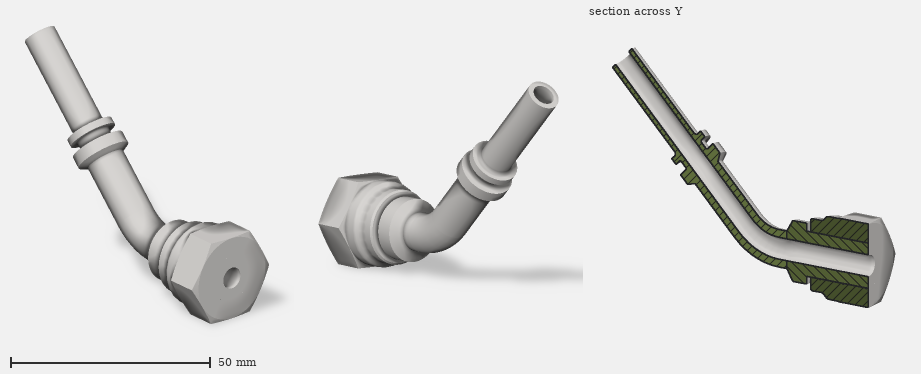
import cadquery as cq
import math


TUBE_RADIUS = 5.0
BORE_RADIUS = 2.8
CONE_ANGLE = 60.0
HEAD_START = -24.8

BEND_START = -27.25
BEND_RADIUS = 14.25
BEND_ANGLE = 45.0
CORNER_TO_TIP = 59.0
TAIL_RADIUS = 4.2
RING_RADIUS = 6.2
RING_START = 27.5
RING_END = 29.35
RING_FILLET = 0.85
GROOVE_RADIUS = 4.35
GROOVE_FILLET = 0.5
FLANGE_RADIUS = 7.0
FLANGE_START = 32.0
FLANGE_END = 35.1

COLLAR_RADIUS = 8.0
COLLAR_END = -18.7
NECK_RADIUS = 6.0

NUT_START = -17.7
SLEEVE_RADIUS = 9.5
SLEEVE_CHAMFER = 0.5
SHOULDER_START = -14.5
SHOULDER_END = -12.1
SHOULDER_RADIUS = 10.9
HEX_START = -9.2
HEX_WIDTH = 21.95
HEX_CHAMFER = 0.55


def cone_length(outer_radius, inner_radius):
    """Axial length of a conical shoulder between two radii."""
    return (outer_radius - inner_radius) / math.tan(math.radians(CONE_ANGLE))


def revolve_about_x(profile):
    """Turn a closed XZ profile, with radius along Z, around the X axis."""
    return profile.close().revolve(360, (0, 0, 0), (1, 0, 0))


def make_stem():
    angle = math.radians(BEND_ANGLE)
    corner_x = BEND_START - BEND_RADIUS * math.tan(angle / 2)
    tip_x = corner_x - CORNER_TO_TIP * math.cos(angle)
    tip_z = CORNER_TO_TIP * math.sin(angle)
    bend_end_x = BEND_START - BEND_RADIUS * math.sin(angle)
    bend_end_z = BEND_RADIUS * (1 - math.cos(angle))
    bend_middle_x = BEND_START - BEND_RADIUS * math.sin(angle / 2)
    bend_middle_z = BEND_RADIUS * (1 - math.cos(angle / 2))
    tail_length = math.hypot(tip_x - bend_end_x, tip_z - bend_end_z)

    flange_cone_end = FLANGE_END + cone_length(FLANGE_RADIUS, TUBE_RADIUS)
    tail = revolve_about_x(
        cq.Workplane("XZ")
        .moveTo(0, BORE_RADIUS)
        .lineTo(0, TAIL_RADIUS)
        .lineTo(RING_START - RING_FILLET, TAIL_RADIUS)
        .radiusArc((RING_START, TAIL_RADIUS + RING_FILLET), -RING_FILLET)
        .lineTo(RING_START, RING_RADIUS)
        .lineTo(RING_END, RING_RADIUS)
        .lineTo(RING_END, GROOVE_RADIUS + GROOVE_FILLET)
        .radiusArc((RING_END + GROOVE_FILLET, GROOVE_RADIUS), -GROOVE_FILLET)
        .lineTo(FLANGE_START - GROOVE_FILLET, GROOVE_RADIUS)
        .radiusArc((FLANGE_START, GROOVE_RADIUS + GROOVE_FILLET), -GROOVE_FILLET)
        .lineTo(FLANGE_START, FLANGE_RADIUS)
        .lineTo(FLANGE_END, FLANGE_RADIUS)
        .lineTo(flange_cone_end, TUBE_RADIUS)
        .lineTo(tail_length, TUBE_RADIUS)
        .lineTo(tail_length, BORE_RADIUS)
    )
    tail = tail.rotate((0, 0, 0), (0, 1, 0), BEND_ANGLE).translate((tip_x, 0, tip_z))

    bend_path = (
        cq.Workplane("XZ")
        .moveTo(HEAD_START, 0)
        .lineTo(BEND_START, 0)
        .threePointArc((bend_middle_x, bend_middle_z), (bend_end_x, bend_end_z))
    )
    tube_section = cq.Workplane("YZ", origin=(HEAD_START, 0, 0)).circle(TUBE_RADIUS).circle(BORE_RADIUS)
    bend = tube_section.sweep(bend_path)
    return tail.union(bend)


def make_head():
    cone_end = HEAD_START + cone_length(COLLAR_RADIUS, TUBE_RADIUS)
    return revolve_about_x(
        cq.Workplane("XZ")
        .moveTo(HEAD_START, BORE_RADIUS)
        .lineTo(HEAD_START, TUBE_RADIUS)
        .lineTo(cone_end, COLLAR_RADIUS)
        .lineTo(COLLAR_END, COLLAR_RADIUS)
        .lineTo(COLLAR_END, NECK_RADIUS)
        .lineTo(0, NECK_RADIUS)
        .lineTo(0, BORE_RADIUS)
    )


def make_nut():
    corner_radius = HEX_WIDTH / math.sqrt(3)

    wall_points = [
        (NUT_START + SLEEVE_CHAMFER, SLEEVE_RADIUS),
        (SHOULDER_START, SLEEVE_RADIUS),
        (SHOULDER_END, SHOULDER_RADIUS),
        (HEX_START, SHOULDER_RADIUS),
    ]
    wall_directions = [(1, 0)] * len(wall_points)

    sleeve = revolve_about_x(
        cq.Workplane("XZ")
        .moveTo(NUT_START, 0)
        .lineTo(NUT_START, SLEEVE_RADIUS - SLEEVE_CHAMFER)
        .lineTo(*wall_points[0])
        .spline(wall_points[1:], tangents=wall_directions, includeCurrent=True)
        .lineTo(HEX_START, 0)
    )

    hexagon = (
        cq.Workplane("YZ", origin=(HEX_START, 0, 0))
        .polygon(6, 2 * corner_radius)
        .extrude(-HEX_START)
    )
    chamfer_envelope = revolve_about_x(
        cq.Workplane("XZ")
        .moveTo(HEX_START, 0)
        .lineTo(HEX_START, SHOULDER_RADIUS)
        .lineTo(HEX_START + HEX_CHAMFER, corner_radius)
        .lineTo(-HEX_CHAMFER, corner_radius)
        .lineTo(0, SHOULDER_RADIUS)
        .lineTo(0, 0)
    )
    hexagon = hexagon.intersect(chamfer_envelope)

    neck_hole = cq.Workplane("YZ", origin=(NUT_START, 0, 0)).circle(NECK_RADIUS).extrude(-NUT_START)
    return sleeve.union(hexagon).cut(neck_hole)


stem = make_stem()
head = make_head()
nut = make_nut()

result = cq.Compound.makeCompound([stem.solids().val(), head.val(), nut.solids().val()])